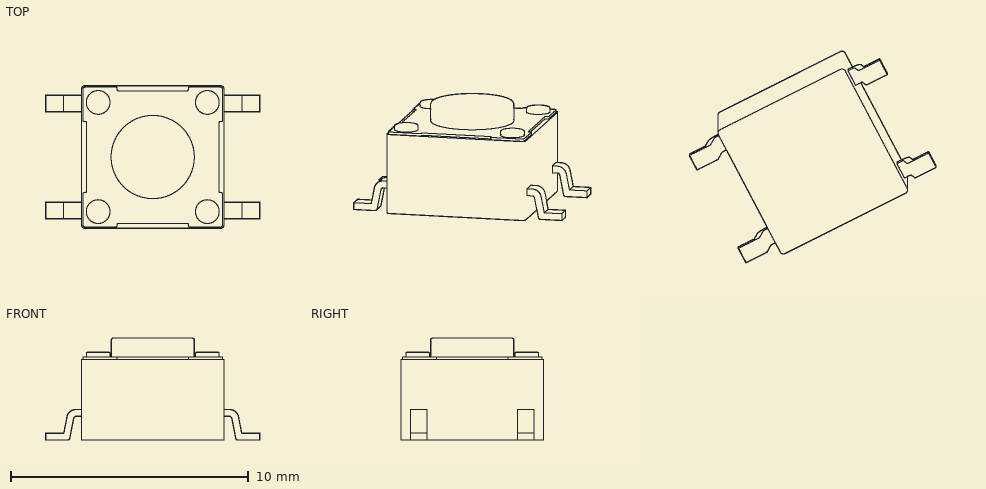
import cadquery as cq
import math


body_side = 6.0
body_height = 3.4
body_corner_radius = 0.15

cover_inset = 0.06
cover_side = body_side - 2 * cover_inset
cover_top = 3.5
cover_corner_radius = 0.1
notch_length = 3.0
notch_depth = 0.15
notch_corner_radius = 0.05

button_diameter = 3.5
button_top = 4.3
button_rounding = 0.1

rivet_diameter = 1.0
rivet_top = 3.7
rivet_offset = 2.295
rivet_rounding = 0.05

lead_tip_x = 4.5
lead_width = 0.7
lead_thickness = 0.3
lead_top = 1.3
lead_offset_y = 2.25
foot_length = 0.76
lead_lean = math.radians(11)
small_bend_radius = 0.1
large_bend_radius = small_bend_radius + lead_thickness


def make_body():
    block = cq.Workplane("XY").rect(body_side, body_side).extrude(body_height)
    return block.edges("|Z").fillet(body_corner_radius)


def make_cover():
    height = cover_top - body_height
    plate = cq.Workplane("XY").workplane(offset=body_height).rect(cover_side, cover_side).extrude(height)
    plate = plate.edges("|Z").fillet(cover_corner_radius)
    cutter = (
        cq.Workplane("XY")
        .workplane(offset=body_height)
        .center(cover_side / 2, 0)
        .rect(2 * notch_depth, notch_length)
        .extrude(height)
    )
    for quarter_turn in range(4):
        plate = plate.cut(cutter.rotate((0, 0, 0), (0, 0, 1), 90 * quarter_turn))
    for quarter_turn in range(4):
        turn = math.radians(90 * quarter_turn)
        for depth in (0, notch_depth):
            for end in (-1, 1):
                across = cover_side / 2 - depth
                along = end * notch_length / 2
                corner = (
                    across * math.cos(turn) - along * math.sin(turn),
                    across * math.sin(turn) + along * math.cos(turn),
                    body_height + height / 2,
                )
                plate = plate.edges(cq.selectors.NearestToPointSelector(corner)).fillet(notch_corner_radius)
    return plate


def make_disc(diameter, top, rounding):
    """Upright disc from the body's top face, with a rounded upper rim."""
    disc = cq.Workplane("XY").workplane(offset=body_height).circle(diameter / 2).extrude(top - body_height)
    return disc.faces(">Z").edges().fillet(rounding)


def make_lead():
    """Lead on the +X side: flat foot, leaning shank and a short arm into the body."""
    slope = math.tan(lead_lean)
    shank_width = lead_thickness / math.cos(lead_lean)
    arm_bottom = lead_top - lead_thickness
    arm_end = body_side / 2 - body_corner_radius
    heel_x = lead_tip_x - foot_length

    def outer_x(z):
        return heel_x - (z - lead_thickness) * slope

    def inner_x(z):
        return outer_x(z) - shank_width

    shoulder = (outer_x(lead_top), lead_top)
    armpit = (inner_x(arm_bottom), arm_bottom)
    sole_end = (inner_x(0), 0)
    outline = [
        (lead_tip_x, 0),
        (lead_tip_x, lead_thickness),
        (heel_x, lead_thickness),
        shoulder,
        (arm_end, lead_top),
        (arm_end, arm_bottom),
        armpit,
        sole_end,
    ]
    lead = cq.Workplane("XZ").polyline(outline).close().extrude(lead_width / 2, both=True)
    bends = [
        (shoulder, large_bend_radius),
        (armpit, small_bend_radius),
        (sole_end, small_bend_radius),
    ]
    for (x, z), radius in bends:
        lead = lead.edges(cq.selectors.NearestToPointSelector((x, 0, z))).fillet(radius)
    return lead


result = make_body().union(make_cover())
result = result.union(make_disc(button_diameter, button_top, button_rounding))

rivet = make_disc(rivet_diameter, rivet_top, rivet_rounding)
right_lead = make_lead()
left_lead = right_lead.mirror("YZ")
for side_y in (-1, 1):
    for side_x, lead in ((-1, left_lead), (1, right_lead)):
        result = result.union(rivet.translate((side_x * rivet_offset, side_y * rivet_offset, 0)))
        result = result.union(lead.translate((0, side_y * lead_offset_y, 0)))